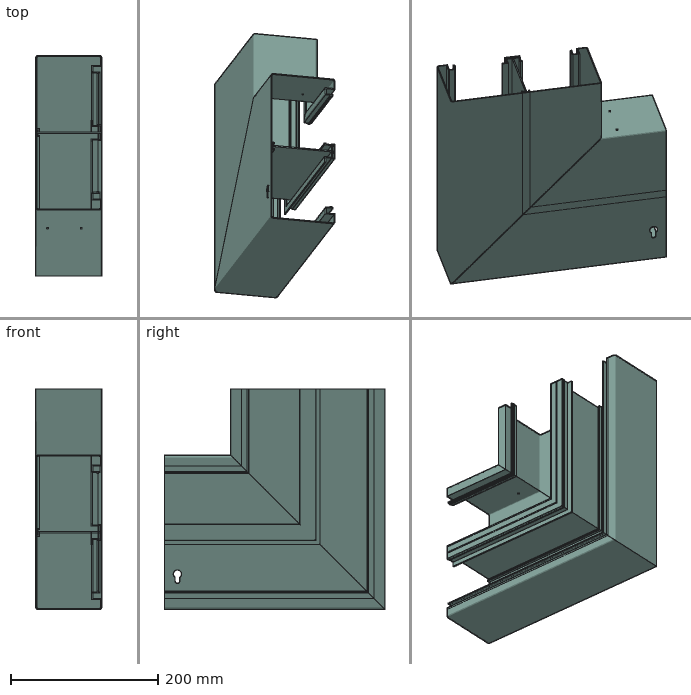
import cadquery as cq

size = 299.8
depth = 90.0
arm_width = 210.0
sheet = 1.5
bend_radius = 3.5

half_size = size / 2
back_x = -depth / 2
front_x = depth / 2
arm_bottom = -half_size
arm_middle = arm_bottom + arm_width / 2
mitre_normal = (0, 1, 1)

rail_face_width = 15.0
rail_depth = 13.8
rail_width = 24.0
rail_leg_setback = 2.7
rail_bend_radius = 2.5
bead_tip_length = 1.8
bead_length = 2.5
bead_height = 1.0

divider_sheet = 1.8
head_half_width = 10.8
head_depth = 14.7
head_web_recess = 1.0
head_seat_depth = 5.0
head_corner_radius = 1.2
outer_hook_rise = 5.7
inner_hook_rise = 0.5
foot_half_width = 5.5
foot_height = 3.5

keyhole_y = -132.2
keyhole_z = -101.5
keyhole_radius = 5.5
keyhole_slot_radius = 3.0
keyhole_slot_drop = 9.5

screw_hole_diameter = 2.5
screw_hole_y = -85.0
screw_hole_xs = (-28.8, 17.0)


def bar(x_start, x_end, z_start, z_end):
    """Straight bar of rectangular section that runs the full length along Y."""
    corner = (x_start, -half_size, z_start)
    return cq.Workplane("XY").box(x_end - x_start, size, z_end - z_start, centered=False).translate(corner)


def mitred(arm):
    """Part of a bar along Y that lies below the mitre plane y + z = 0."""
    corners = [(-half_size, -half_size), (half_size, -half_size), (-half_size, half_size)]
    below_mitre = cq.Workplane("YZ").polyline(corners).close().extrude(depth / 2, both=True)
    return arm.intersect(below_mitre)


def mirrored_across_arm(half):
    """Copy of a bar on the other side of the arm's middle."""
    return half.mirror("XY", (0, 0, arm_middle))


def cover_rail():
    """Groove along the lower edge of the open side; its face is the folded edge of the channel."""
    groove_floor_x = front_x - rail_depth
    leg_end_x = front_x - rail_leg_setback
    face_top = arm_bottom + rail_face_width
    rail_top = arm_bottom + rail_width

    web = bar(groove_floor_x, front_x, face_top - sheet, face_top)
    groove_floor = bar(groove_floor_x, groove_floor_x + sheet, face_top - sheet, rail_top)
    leg = bar(groove_floor_x, leg_end_x, rail_top - sheet, rail_top)
    groove = web.union(groove_floor).union(leg)
    groove = groove.faces(">Z").edges("<X").fillet(rail_bend_radius)

    bead_end_x = leg_end_x - bead_tip_length
    bead = bar(bead_end_x - bead_length, bead_end_x, rail_top - sheet, rail_top + bead_height)
    return groove.union(bead)


def arm_channel():
    """Horizontal arm: a C-shaped sheet channel with a cover rail on each edge, cut at the mitre."""
    arm_top = arm_bottom + arm_width
    outside = bar(back_x, front_x, arm_bottom, arm_top).edges("|Y").fillet(bend_radius)
    inside = bar(back_x + sheet, front_x - sheet, arm_bottom + sheet, arm_top - sheet)
    inside = inside.edges("|Y").fillet(bend_radius - sheet)
    mouth = bar(0, front_x, arm_bottom + rail_face_width, arm_top - rail_face_width)

    rail = cover_rail()
    channel = outside.cut(inside).cut(mouth).union(rail).union(mirrored_across_arm(rail))
    return mitred(channel)


def keyhole():
    head = cq.Workplane("YZ").center(keyhole_y, keyhole_z).circle(keyhole_radius).extrude(back_x)
    slot_length = keyhole_slot_drop + 2 * keyhole_slot_radius
    slot = (
        cq.Workplane("YZ")
        .center(keyhole_y, keyhole_z - keyhole_slot_drop / 2)
        .slot2D(slot_length, 2 * keyhole_slot_radius, 90)
        .extrude(back_x)
    )
    return head.union(slot)


def screw_holes():
    wall_top = arm_bottom + arm_width
    return (
        cq.Workplane("XY")
        .workplane(offset=wall_top)
        .pushPoints([(x, screw_hole_y) for x in screw_hole_xs])
        .circle(screw_hole_diameter / 2)
        .extrude(-2 * sheet)
    )


def divider_head_half(hook_rise):
    """Upper half of the rail head: a hollow front strip, and a web behind it that ends in a hook."""
    head_top = arm_middle + head_half_width
    web_top = head_top - head_web_recess
    web_end_x = front_x - head_depth
    seat_x = front_x - head_seat_depth

    strip = bar(seat_x, front_x, arm_middle, head_top)
    strip = strip.faces(">Z").edges(">X").fillet(head_corner_radius)
    hollow = bar(seat_x + sheet, front_x - sheet, arm_middle, head_top - sheet)
    web = bar(web_end_x, seat_x + sheet, web_top - sheet, web_top)
    hook = bar(web_end_x, web_end_x + divider_sheet, web_top - sheet, head_top + hook_rise)
    return strip.cut(hollow).union(web).union(hook)


def divider_foot():
    """Shallow clip channel that stands on the back plate and holds the edge of the wall."""
    inner_face_x = back_x + sheet
    foot_bottom = arm_middle - foot_half_width
    foot_top = arm_middle + foot_half_width
    block = bar(inner_face_x, inner_face_x + foot_height, foot_bottom, foot_top)
    channel = bar(inner_face_x + sheet, inner_face_x + foot_height, foot_bottom + sheet, foot_top - sheet)
    return block.cut(channel)


def divider():
    """L-shaped dividing wall along the middle of both arms, one piece through the corner."""
    half_sheet = divider_sheet / 2
    wall = bar(back_x + sheet, front_x, arm_middle - half_sheet, arm_middle + half_sheet)
    inner_head_half = divider_head_half(inner_hook_rise)
    outer_head_half = mirrored_across_arm(divider_head_half(outer_hook_rise))
    profile = wall.union(inner_head_half).union(outer_head_half).union(divider_foot())
    leg = mitred(profile)
    return leg.union(leg.mirror(mitre_normal))


plain_arm = arm_channel()
vertical_arm = plain_arm.mirror(mitre_normal)
horizontal_arm = plain_arm.cut(keyhole()).cut(screw_holes())
dividing_wall = divider()

result = cq.Compound.makeCompound([horizontal_arm.val(), vertical_arm.val(), dividing_wall.val()])